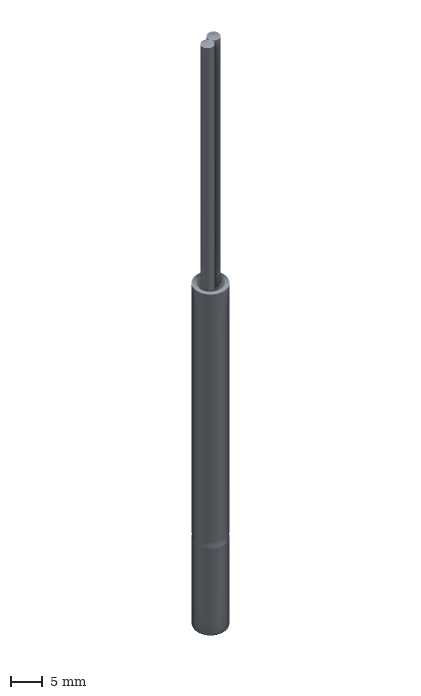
import cadquery as cq

TOTAL_HEIGHT = 117.0
BODY_DIAMETER = 6.0
BODY_RADIUS = BODY_DIAMETER / 2

TIP_SHOULDER = 17.7
SHEATH_BOTTOM = 18.7
SHEATH_TOP = 68.5

TIP_EDGE_RADIUS = 0.5
TIP_TAPER = 0.14

BORE_RADIUS = 5.0 / 2
HOLLOW_RADIUS = 4.6 / 2
HOLLOW_DEPTH = 1.4

STRAND_RADIUS = 1.12
STRAND_OFFSET = 1.1
CONDUCTOR_RADIUS = 0.43
STRAND_CENTRES = [(0, -STRAND_OFFSET), (0, STRAND_OFFSET)]

CABLE_INSERTION = 2.8
CABLE_BOTTOM = SHEATH_TOP - CABLE_INSERTION
JACKET_JOINTS = [CABLE_BOTTOM, 77.0, 87.0, TOTAL_HEIGHT]


def level(height):
    """Horizontal workplane on the axis at the given height."""
    return cq.Workplane("XY", origin=(0, 0, height))


def revolve_profile(points):
    """Solid of revolution about Z from (radius, height) points."""
    return cq.Workplane("XZ").polyline(points).close().revolve(360, (0, 0, 0), (0, 1, 0))


def make_tip():
    """Solid lower end: rounded bottom edge, and a slight taper below the sheath."""
    top_radius = BODY_RADIUS - TIP_TAPER
    profile = [
        (0, 0),
        (BODY_RADIUS, 0),
        (BODY_RADIUS, TIP_SHOULDER),
        (top_radius, SHEATH_BOTTOM),
        (0, SHEATH_BOTTOM),
    ]
    return revolve_profile(profile).faces("<Z").edges().fillet(TIP_EDGE_RADIUS)


def make_sheath():
    """Tube that stands on the tip."""
    length = SHEATH_TOP - SHEATH_BOTTOM
    return level(SHEATH_BOTTOM).circle(BODY_RADIUS).circle(BORE_RADIUS).extrude(length)


def make_cable_envelope(bottom, top):
    """Solid figure-eight prism: the cable without its conductor holes."""
    return level(bottom).pushPoints(STRAND_CENTRES).circle(STRAND_RADIUS).extrude(top - bottom)


def make_conductors(bottom, top):
    """One separate core per strand."""
    return level(bottom).pushPoints(STRAND_CENTRES).circle(CONDUCTOR_RADIUS).extrude(top - bottom)


def make_jacket(bottom, top):
    """One length of cable jacket with a hole for each conductor."""
    return make_cable_envelope(bottom, top).cut(make_conductors(bottom, top))


def make_potting():
    """Filling of the sheath bore: flat rim, conical hollow inside it and a socket for the cable."""
    profile = [
        (0, SHEATH_BOTTOM),
        (BORE_RADIUS, SHEATH_BOTTOM),
        (BORE_RADIUS, SHEATH_TOP),
        (HOLLOW_RADIUS, SHEATH_TOP),
        (0, SHEATH_TOP - HOLLOW_DEPTH),
    ]
    return revolve_profile(profile).cut(make_cable_envelope(CABLE_BOTTOM, TOTAL_HEIGHT))


tip = make_tip()
sheath = make_sheath()
potting = make_potting()
conductors = make_conductors(CABLE_BOTTOM, TOTAL_HEIGHT)
jackets = [make_jacket(bottom, top) for bottom, top in zip(JACKET_JOINTS, JACKET_JOINTS[1:])]

result = cq.Compound.makeCompound(
    [
        tip.solids().val(),
        sheath.val(),
        potting.solids().val(),
        *conductors.solids().vals(),
        *[jacket.solids().val() for jacket in jackets],
    ]
)